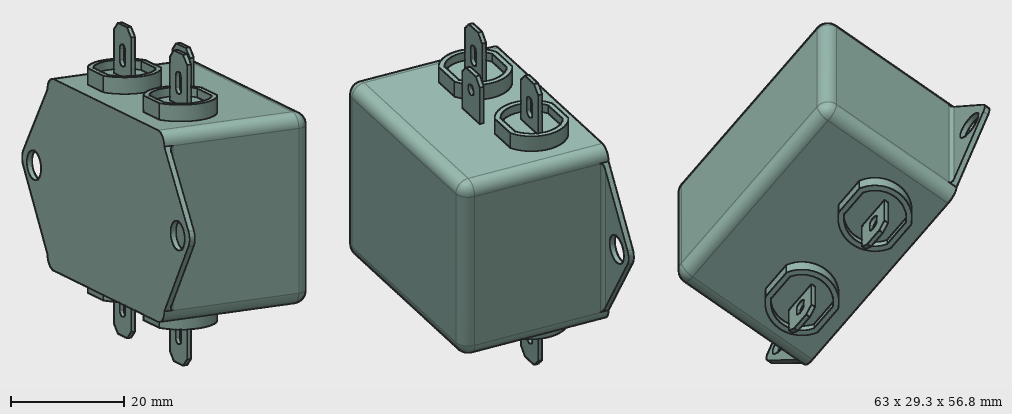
import cadquery as cq
import math

overall_width = 63.0
overall_height = 56.8

body_width = 43.95
body_depth = 29.3
body_height = 35.0
body_radius = 2.45
body_top = body_height / 2

flange_thickness = 1.1
flange_root_z = body_top - body_radius
flange_root_radius = 0.6
flange_tip_radius = 2.5
flange_tip_x = overall_width / 2 - flange_tip_radius
flange_tip_z = 0.4
mount_hole_diameter = 5.3
mount_hole_x = 27.0

terminal_x = 10.5
terminal_y = 9.3
collar_diameter = 13.05
collar_flat_width = 11.6
collar_height = 3.0
collar_wall = 1.0
collar_recess = 1.65

tab_thickness = 0.8
tab_chamfer = 1.5
terminal_width = 6.5
terminal_height = (overall_height - body_height) / 2
terminal_slot_width = 2.0
terminal_slot_length = 4.0
terminal_slot_height = 5.35
ground_width = 6.7
ground_height = 8.9
ground_y = 15.4
ground_hole_diameter = 2.0
ground_hole_height = 5.3


def housing():
    block = cq.Workplane("XY").box(body_width, body_depth, body_height, centered=(True, False, True))
    return block.edges("|Y").fillet(body_radius).faces(">Y").edges().fillet(body_radius)


def tip_tangent(root_z):
    """Point where the line from the flange root at root_z touches the rounded right tip."""
    dx = body_width / 2 - flange_tip_x
    dz = root_z - flange_tip_z
    side = math.copysign(1, root_z)
    angle = math.atan2(dz, dx) - side * math.acos(flange_tip_radius / math.hypot(dx, dz))
    return (
        flange_tip_x + flange_tip_radius * math.cos(angle),
        flange_tip_z + flange_tip_radius * math.sin(angle),
    )


def flange_prism(depth):
    """Six-sided flange outline with rounded tips, extruded from the mounting face."""
    root_x = body_width / 2
    upper_x, upper_z = tip_tangent(flange_root_z)
    lower_x, lower_z = tip_tangent(-flange_root_z)
    tip_end = overall_width / 2
    outline = (
        cq.Workplane("XZ")
        .moveTo(-root_x, flange_root_z)
        .lineTo(root_x, flange_root_z)
        .lineTo(upper_x, upper_z)
        .threePointArc((tip_end, flange_tip_z), (lower_x, lower_z))
        .lineTo(root_x, -flange_root_z)
        .lineTo(-root_x, -flange_root_z)
        .lineTo(-lower_x, lower_z)
        .threePointArc((-tip_end, flange_tip_z), (-upper_x, upper_z))
        .close()
    )
    return outline.extrude(-depth)


def flange_roots():
    """Concave fillets between the flange and the housing sides, trimmed to the flange outline."""
    wall_x = body_width / 2
    outer_x = wall_x + flange_root_radius
    top_y = flange_thickness + flange_root_radius
    arc_offset = flange_root_radius * math.sqrt(0.5)
    right = (
        cq.Workplane("XY")
        .moveTo(wall_x, 0)
        .lineTo(outer_x, 0)
        .lineTo(outer_x, flange_thickness)
        .threePointArc((outer_x - arc_offset, top_y - arc_offset), (wall_x, top_y))
        .close()
        .extrude(flange_root_z, both=True)
    )
    return right.union(right.mirror("YZ")).intersect(flange_prism(top_y))


def mount_holes():
    return (
        cq.Workplane("XZ")
        .pushPoints([(-mount_hole_x, 0), (mount_hole_x, 0)])
        .circle(mount_hole_diameter / 2)
        .extrude(-flange_thickness)
    )


def flatted_disc(inset, base_z, height):
    """Disc with two flats facing -Y and +Y, inset from the collar's outer wall."""
    disc = cq.Workplane("XY").circle(collar_diameter / 2 - inset).extrude(height)
    flats = cq.Workplane("XY").box(
        collar_diameter, collar_flat_width - 2 * inset, height, centered=(True, True, False)
    )
    return disc.intersect(flats).translate((0, 0, base_z))


def tab(width, height):
    """Upright tab with chamfered top corners, standing on Z = 0."""
    blade = cq.Workplane("XY").box(width, tab_thickness, height, centered=(True, True, False))
    return blade.edges("|Y and >Z").chamfer(tab_chamfer)


def terminal():
    """Collar and slotted tab, standing on Z = 0."""
    slot = (
        cq.Workplane("XZ")
        .center(0, terminal_slot_height)
        .slot2D(terminal_slot_length, terminal_slot_width, 90)
        .extrude(tab_thickness, both=True)
    )
    collar = flatted_disc(0, 0, collar_height)
    recess = flatted_disc(collar_wall, collar_height - collar_recess, collar_recess)
    return collar.cut(recess).union(tab(terminal_width, terminal_height).cut(slot))


def ground_tab():
    hole = (
        cq.Workplane("XZ")
        .center(0, ground_hole_height)
        .circle(ground_hole_diameter / 2)
        .extrude(tab_thickness, both=True)
    )
    return tab(ground_width, ground_height).cut(hole).translate((0, ground_y, body_top))


result = housing().union(flange_prism(flange_thickness)).union(flange_roots()).cut(mount_holes())

for x in (-terminal_x, terminal_x):
    upper_terminal = terminal().translate((x, terminal_y, body_top))
    result = result.union(upper_terminal).union(upper_terminal.mirror("XY"))

result = result.union(ground_tab())